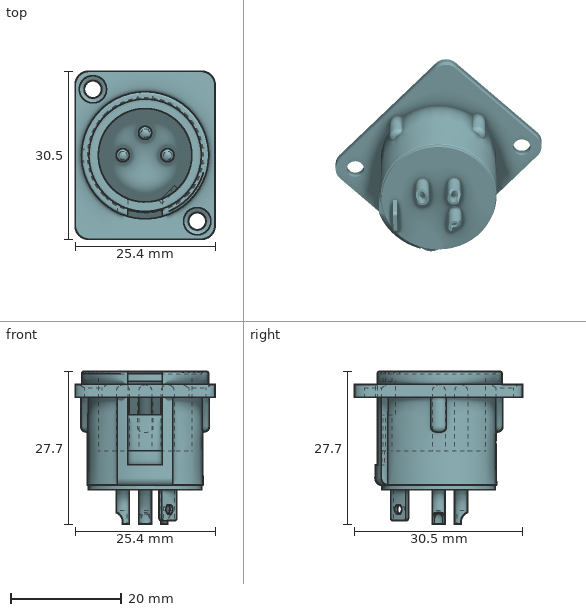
import cadquery as cq
import math


overall_height = 27.7

plate_x = 25.4
plate_y = 30.48
plate_top = 2.35
plate_corner_radius = 2.53
screw_x = 9.45
screw_y = 11.95
screw_hole_radius = 1.55
countersink_radius = 2.47
countersink_depth = 0.6

rim_top = 4.72
rim_radius = 11.52
rim_fillet = 0.5

barrel_top_radius = 10.42
barrel_bottom_radius = 10.52
barrel_bottom = -15.95
barrel_chamfer = 0.12

insert_radius = 10.18
insert_base_radius = 10.3
insert_base_top = -9.65
insert_top = rim_top - rim_fillet
insert_bottom = -16.75
socket_radius = 8.47
socket_floor = insert_base_top

housing_width = 10.0
housing_fillet = 1.35
window_width = 6.22
window_floor = -12.22
opening_bottom = -3.15
opening_top = 2.93

rib_radius = 1.43
rib_center_radius = 10.2
rib_bottom = -6.28
rib_fillet = 1.0

pin_radius = 1.2
pin_center_radius = 4.05
pin_top = plate_top
pin_bottom = rim_top - overall_height
scoop_radius = 1.8
scoop_wall_offset = 0.03
scoop_z = -22.52
cup_bore_radius = 0.75
cup_bore_top = -20.42

tab_center = (4.15, -7.07)
tab_width = 3.93
tab_thickness = 0.7
tab_angle = 45
tab_bottom = -22.35
tab_corner_radius = 0.6
tab_hole_radius = 0.88
tab_hole_z = -20.3


def cylinder(radius, bottom, top):
    """Cylinder on the Z axis between two heights."""
    return cq.Workplane("XY").workplane(offset=bottom).circle(radius).extrude(top - bottom)


def front_block(width, bottom, top):
    """Block centred on X that covers the -Y side between two heights."""
    return cq.Workplane("XY").box(
        width, plate_y, top - bottom, centered=(True, False, False)
    ).translate((0, -plate_y, bottom))


def make_plate():
    """Rounded plate with two countersunk screw holes on one diagonal."""
    plate = cq.Workplane("XY").rect(plate_x, plate_y).extrude(plate_top)
    plate = plate.edges("|Z").fillet(plate_corner_radius)
    for side in (-1, 1):
        x, y = side * screw_x, -side * screw_y
        hole_profile = [
            (0, 0),
            (screw_hole_radius, 0),
            (screw_hole_radius, plate_top - countersink_depth),
            (countersink_radius, plate_top),
            (0, plate_top),
        ]
        hole = cq.Workplane("XZ").polyline(hole_profile).close().revolve(360, (0, 0), (0, 1))
        plate = plate.cut(hole.translate((x, y, 0)))
    return plate


def make_rim():
    """Round rim with a rounded outer edge, before the socket is cut."""
    return cylinder(rim_radius, 0, rim_top).faces(">Z").edges().fillet(rim_fillet)


def make_barrel():
    """Tapered barrel with a chamfered lower edge, standing on the insert base."""
    profile = [
        (0, barrel_bottom),
        (barrel_bottom_radius - barrel_chamfer, barrel_bottom),
        (barrel_bottom_radius, barrel_bottom + barrel_chamfer),
        (barrel_top_radius, 0),
        (0, 0),
    ]
    barrel = cq.Workplane("XZ").polyline(profile).close().revolve(360, (0, 0), (0, 1))
    return barrel.union(cylinder(insert_base_radius, insert_bottom, barrel_bottom))


def make_latch_housing():
    """Slice of a larger cylinder with a rounded lower edge."""
    housing = cylinder(rim_radius, barrel_bottom, 0)
    housing = housing.faces("<Z").edges().fillet(housing_fillet)
    return housing.intersect(front_block(housing_width, barrel_bottom, 0))


def make_window():
    """Space in front of the insert, open at the top through the rim."""
    space = cylinder(rim_radius, window_floor, rim_top)
    space = space.cut(cylinder(insert_base_radius, window_floor, insert_base_top))
    space = space.cut(cylinder(insert_radius, insert_base_top, rim_top))
    return space.intersect(front_block(window_width, window_floor, rim_top))


def make_rib(angle):
    """Upright rib with a rounded lower end, at an angle around the barrel."""
    rib = cylinder(rib_radius, rib_bottom, 0).faces("<Z").edges().fillet(rib_fillet)
    x = rib_center_radius * math.cos(math.radians(angle))
    y = rib_center_radius * math.sin(math.radians(angle))
    return rib.translate((x, y, 0))


def make_pin(angle):
    """Round-tipped pin whose solder cup opens outwards, at an angle around the axis."""
    tip_center = pin_top - pin_radius
    pin = cylinder(pin_radius, pin_bottom, tip_center)
    pin = pin.union(cq.Workplane("XY").sphere(pin_radius).translate((0, 0, tip_center)))
    pin = pin.cut(cylinder(cup_bore_radius, pin_bottom, cup_bore_top))
    scoop_x = scoop_radius + scoop_wall_offset
    scoop = cq.Workplane("XZ").center(scoop_x, scoop_z).circle(scoop_radius)
    scoop = scoop.extrude(pin_radius, both=True)
    pin = pin.cut(scoop).translate((pin_center_radius, 0, 0))
    return pin.rotate((0, 0, 0), (0, 0, 1), angle)


def make_tab():
    """Flat earth tab with rounded lower corners and a cross hole."""
    height = insert_bottom - tab_bottom
    tab = cq.Workplane("XY").box(tab_width, tab_thickness, height, centered=(True, True, False))
    tab = tab.faces("<Z").edges("|Y").fillet(tab_corner_radius)
    hole = cq.Workplane("XZ").center(0, tab_hole_z - tab_bottom)
    tab = tab.cut(hole.circle(tab_hole_radius).extrude(tab_thickness, both=True))
    tab = tab.rotate((0, 0, 0), (0, 0, 1), tab_angle)
    return tab.translate((*tab_center, tab_bottom))


body = make_plate().union(make_rim()).union(make_barrel()).union(make_latch_housing())
for rib_angle in (0, 90, 180):
    body = body.union(make_rib(rib_angle))

body = body.cut(cylinder(insert_radius, insert_top, rim_top))
body = body.cut(cylinder(socket_radius, socket_floor, insert_top))
body = body.cut(make_window())
opening = front_block(window_width, opening_bottom, opening_top)
body = body.cut(opening.intersect(cylinder(insert_radius, opening_bottom, opening_top)))

for pin_angle in (0, 90, 180):
    body = body.union(make_pin(pin_angle))

result = body.union(make_tab())